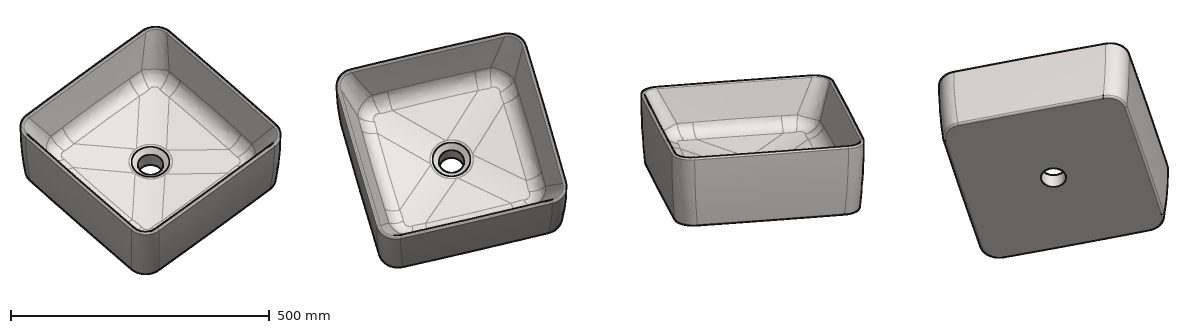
import cadquery as cq
import math

width = 380.0
height = 145.0

outer_corner = 38.0
outer_side_radius = 15199.5
base_inset = 7.0
base_round = 4.5
profile_steps = 4

rim_inset = 6.5
rim_round = 3.0
basin_top_corner = 29.3
basin_top_side_radius = 15199.5
wall_foot_inset = 40.3
wall_foot_height = 57.0
wall_foot_corner = 41.8
wall_foot_side_radius = 3420.0
foot_edge_margin = 3.8
floor_blend = 38.0
floor_centre_corner = 41.0

lip_radius = 41.8
lip_height = 44.0
seat_radius = 36.5
seat_height = 42.5
hole_radius = 48.5 / 2
hole_top_height = 34.0


def rounded_square(side, corner, side_radius, z):
    """Square wire at height z whose slightly bowed sides run tangent into its corner arcs."""
    half = side / 2
    side_centre = side_radius - half
    corner_centre = (math.sqrt(2 * (side_radius - corner) ** 2 - side_centre**2) - side_centre) / 2
    stretch = side_radius / (side_radius - corner)
    near = corner_centre * stretch
    far = (corner_centre + side_centre) * stretch - side_centre
    tip = corner_centre + corner / math.sqrt(2)
    outline = cq.Workplane("XY", origin=(0, 0, z)).moveTo(near, -far)
    outline = outline.threePointArc((tip, -tip), (far, -near))
    outline = outline.threePointArc((half, 0), (far, near))
    outline = outline.threePointArc((tip, tip), (near, far))
    outline = outline.threePointArc((0, half), (-near, far))
    outline = outline.threePointArc((-tip, tip), (-far, near))
    outline = outline.threePointArc((-half, 0), (-far, -near))
    outline = outline.threePointArc((-tip, -tip), (-near, -far))
    outline = outline.threePointArc((0, -half), (near, -far))
    return outline.close().val()


def loft(sections, ruled):
    """Solid through a list of closed wires."""
    return cq.Workplane(cq.Solid.makeLoft(sections, ruled))


def make_body():
    """Solid block whose sides follow an arc that is vertical at the rim."""
    profile_radius = (height**2 + base_inset**2) / (2 * base_inset)
    sections = []
    for step in range(profile_steps + 1):
        z = height * step / profile_steps
        inset = profile_radius - math.sqrt(profile_radius**2 - (height - z) ** 2)
        sections.append(rounded_square(width - 2 * inset, outer_corner, outer_side_radius, z))
    return loft(sections, ruled=False).faces("<Z").edges().fillet(base_round)


def make_basin():
    """Hollow of the basin, with the walls blended into the sloping floor."""
    top_side = width - 2 * rim_inset
    foot_side = width - 2 * wall_foot_inset
    top = rounded_square(top_side, basin_top_corner, basin_top_side_radius, height)
    foot = rounded_square(foot_side, wall_foot_corner, wall_foot_side_radius, wall_foot_height)
    drain = rounded_square(2 * lip_radius, floor_centre_corner, wall_foot_side_radius, lip_height)
    hollow = loft([top, foot], ruled=True).union(loft([foot, drain], ruled=True))
    above = wall_foot_height + foot_edge_margin
    below = wall_foot_height - foot_edge_margin
    foot_edges = cq.selectors.BoxSelector((-width, -width, below), (width, width, above), boundingbox=True)
    return hollow.edges(foot_edges).fillet(floor_blend)


def make_drain():
    """Drain opening from the underside up to the basin floor."""
    profile = (
        cq.Workplane("XZ")
        .lineTo(hole_radius, 0)
        .lineTo(hole_radius, hole_top_height)
        .lineTo(seat_radius, seat_height)
        .lineTo(lip_radius, lip_height)
        .lineTo(0, lip_height)
        .close()
    )
    return profile.revolve(360, (0, 0, 0), (0, 1, 0))


result = make_body().cut(make_basin())
result = result.faces(">Z").edges().fillet(rim_round)
result = result.cut(make_drain())